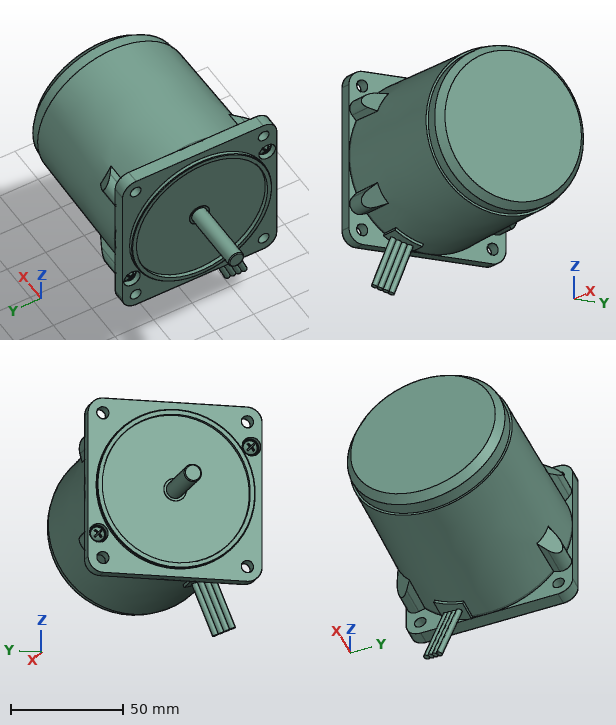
import cadquery as cq
import math

pilot_start = 30.0
plate_start = 31.9
plate_end = 38.4
cone_start = 39.2
cone_end = 107.3
cap_chamfer_start = 113.3
motor_end = 117.0

shaft_radius = 4.0
shaft_chamfer = 0.5

plate_side = 80.0
plate_corner_radius = 7.0
mount_hole_diameter = 5.5
mount_hole_offset = 33.2

pilot_radius = 36.4
pilot_chamfer = 0.4
face_radius = 34.0
bearing_radius = 5.1
bearing_depth = 0.4

body_radius = plate_side / 2
cone_end_radius = 39.0
cap_radius = 37.9
cap_end_radius = 34.7

screw_y = 35.1
screw_z = 22.0
lug_radius = 4.5
lug_flare = 16.0
lug_inner_reach = 12.9
lug_crest_end = 48.3
lug_foot_end = 58.3

screw_recess_radius = 4.2
screw_recess_depth = 3.2
washer_radius = 3.7
washer_thickness = 0.5
head_radius = 3.3
head_edge_height = 0.5
head_crown_height = 2.1
cross_length = 4.2
cross_width = 0.7
cross_depth = 1.2

outlet_angle = 22.5
outlet_end = 49.0
outlet_width = 15.1
outlet_radius = 41.2
wire_count = 4
wire_diameter = 2.8
wire_pitch_x = 0.88
wire_pitch_side = 2.6
wire_row_center_x = 42.9
wire_end_radius = 66.1

screw_radius = math.hypot(screw_y, screw_z)
screw_angle = math.degrees(math.atan2(screw_z, screw_y))


def section(x):
    """Plane across the axis at x, with its local axes along Y and Z."""
    return cq.Workplane("YZ", origin=(x, 0, 0))


def disc(radius, start, end):
    return section(start).circle(radius).extrude(end - start)


def make_plate():
    plate = section(plate_start).rect(plate_side, plate_side).extrude(plate_end - plate_start)
    return plate.edges("|X").fillet(plate_corner_radius)


def make_pilot():
    return disc(pilot_radius, pilot_start, plate_start).faces("<X").chamfer(pilot_chamfer)


def make_shaft():
    return disc(shaft_radius, 0, plate_end).faces("<X").chamfer(shaft_chamfer)


def make_body():
    profile = [
        (plate_start, 0),
        (plate_start, body_radius),
        (cone_start, body_radius),
        (cone_end, cone_end_radius),
        (cone_end, cap_radius),
        (cap_chamfer_start, cap_radius),
        (motor_end, cap_end_radius),
        (motor_end, 0),
    ]
    return cq.Workplane("XY").polyline(profile).close().revolve(360, (0, 0, 0), (1, 0, 0))


def make_lug():
    """Lug on the +Y side: round crest, flaring flanks and a sloped rear end."""
    flare = math.radians(lug_flare)
    flank_y = screw_radius + lug_radius * math.sin(flare)
    flank_z = lug_radius * math.cos(flare)
    foot_y = flank_y - lug_inner_reach
    foot_z = flank_z + lug_inner_reach * math.tan(flare)
    crest_y = screw_radius + lug_radius
    bar = (
        section(plate_start)
        .moveTo(foot_y, -foot_z)
        .lineTo(flank_y, -flank_z)
        .threePointArc((crest_y, 0), (flank_y, flank_z))
        .lineTo(foot_y, foot_z)
        .close()
        .extrude(lug_foot_end - plate_start)
    )
    slope = (crest_y - cone_end_radius) / (lug_foot_end - lug_crest_end)
    inner_end = lug_crest_end + (crest_y - foot_y) / slope
    side_outline = [
        (plate_start, foot_y),
        (inner_end, foot_y),
        (lug_crest_end, crest_y),
        (plate_start, crest_y),
    ]
    sloped_block = cq.Workplane("XY").polyline(side_outline).close().extrude(2 * foot_z, both=True)
    return bar.intersect(sloped_block)


def make_screw():
    """Washer, domed head and cross recess on the X axis, facing -X from x = 0."""
    head_edge = -washer_thickness - head_edge_height
    crown = -washer_thickness - head_crown_height
    dome_rise = head_edge - crown
    dome_radius = (head_radius**2 + dome_rise**2) / (2 * dome_rise)
    middle_angle = math.asin(head_radius / dome_radius) / 2
    dome_middle = (
        crown + dome_radius * (1 - math.cos(middle_angle)),
        dome_radius * math.sin(middle_angle),
    )
    screw = (
        cq.Workplane("XY")
        .moveTo(0, 0)
        .lineTo(0, washer_radius)
        .lineTo(-washer_thickness, washer_radius)
        .lineTo(-washer_thickness, head_radius)
        .lineTo(head_edge, head_radius)
        .threePointArc(dome_middle, (crown, 0))
        .close()
        .revolve(360, (0, 0, 0), (1, 0, 0))
    )
    for angle in (45, 135):
        slot = section(crown).rect(cross_length, cross_width).extrude(cross_depth)
        screw = screw.cut(slot.rotate((0, 0, 0), (1, 0, 0), angle))
    return screw


def make_lead_outlet():
    """Outlet pad and flat row of wires pointing along -Z, before tilting about the axis."""
    pad = (
        section(plate_end)
        .center(0, -outlet_radius / 2)
        .rect(outlet_width, outlet_radius)
        .extrude(outlet_end - plate_end)
        .intersect(disc(outlet_radius, plate_end, outlet_end))
    )
    for index in range(wire_count):
        step = index - (wire_count - 1) / 2
        wire = (
            cq.Workplane("XY")
            .center(wire_row_center_x + step * wire_pitch_x, step * wire_pitch_side)
            .circle(wire_diameter / 2)
            .extrude(-wire_end_radius)
        )
        pad = pad.union(wire)
    return pad.rotate((0, 0, 0), (1, 0, 0), -outlet_angle)


result = make_body().union(make_plate()).union(make_pilot())

result = result.cut(disc(face_radius, pilot_start, plate_start))
result = result.cut(disc(bearing_radius, plate_start, plate_start + bearing_depth))
result = result.union(make_shaft())

for lug_angle in (screw_angle, 180 - screw_angle, 180 + screw_angle, -screw_angle):
    result = result.union(make_lug().rotate((0, 0, 0), (1, 0, 0), lug_angle))

result = result.union(make_lead_outlet())

screw_seat = plate_start + screw_recess_depth
for side in (1, -1):
    place = (0, side * screw_y, -side * screw_z)
    recess = disc(screw_recess_radius, pilot_start, screw_seat).translate(place)
    result = result.cut(recess)
    result = result.union(make_screw().translate((screw_seat, 0, 0)).translate(place))

mount_holes = (
    section(plate_start)
    .rect(2 * mount_hole_offset, 2 * mount_hole_offset, forConstruction=True)
    .vertices()
    .circle(mount_hole_diameter / 2)
    .extrude(plate_end - plate_start)
)
result = result.cut(mount_holes)